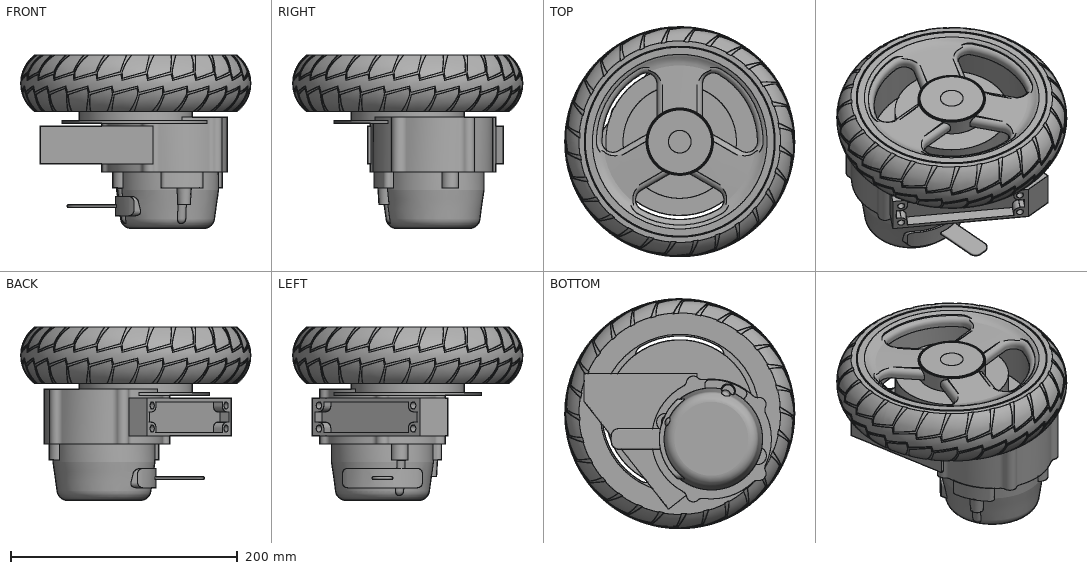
import cadquery as cq
import math


tire_radius = 101.41
tire_half_width = 25.0
tread_edge_radius = 88.8
tire_sector_count = 4
groove_count = 28
groove_depth = 0.6
groove_tip_height = 2.6
groove_link_run = 22.3
groove_link_rise = 5.7
groove_link_end_run = 20.9
groove_step_rise = 7.6
upper_row_angle = 6.0
lower_row_angle = 0.9

seam_outer_radius = 84.1
seam_width = 0.8
seam_depth = 0.5
rim_lip_radius = 77.0
rim_lip_chamfer = 2.0
dish_radius = 67.0
dish_top = 21.0
dish_fillet_drop = 1.2
wheel_bore_radius = 70.0
spoke_top_at_hub = 23.0
spoke_bottom = 13.5
spoke_count = 3
opening_outer_radius = 68.5
opening_side_offset = 20.1
opening_corner_radius = 9.5
opening_edge_round = 5.0
opening_flare_height = 21.8

hub_radius = 29.7
hub_overlap = 3.0
hub_top = 24.0
hub_chamfer = 0.6
hub_groove_radius = 28.6
hub_groove_width = 0.6
hub_groove_depth = 0.5
shaft_radius = 10.0

flange_radius = 50.0
flange_top = 9.0
plate_radius = 65.2
plate_top = -32.9
plate_thickness = 2.5

motor_x = 28.0
motor_y = 22.3
gearbox_radius = 52.8
gearbox_top = -29.8
gearbox_bottom = -78.3
gearbox_lug_count = 5
gearbox_lug_radius = 6.0
gearbox_lug_reach = 58.0
gearbox_lug_fillet = 6.0

motor_radius = 45.0
motor_bottom = -128.0
taper_start = -94.2
taper_end = -119.7
taper_end_radius = 41.4
motor_floor_radius = 32.6

lug_bottom = -92.3
narrow_lug_angles = (20.0, 200.0)
narrow_lug_radius = 7.7
narrow_lug_reach = 51.0
wide_lug_angle = 286.0
wide_lug_spread = 46.0
wide_lug_reach = 52.2
wide_lug_root = 40.0
wide_lug_corner_radius = 4.0
boss_angle = 289.0
boss_center_distance = 44.6
boss_top_radius = 6.5
boss_bottom_radius = 5.6
boss_bottom = -107.0
rib_angles = (201.5, 287.5)
rib_radius = 4.7
rib_protrusion = 1.8
rib_end = -119.2

pad_radius = 46.0
pad_width = 70.4
pad_top = -99.7
pad_bottom = -116.8
pad_corner_radius = 4.5
lever_tip_x = -60.4
lever_width = 18.2
lever_thickness = 2.7
lever_corner_radius = 6.5
lever_edge_round = 1.2

box_top = -37.9
box_bottom = -71.0
box_left_x = -84.3
box_front_y = -35.3
box_right_x = 15.1
box_bevel_front_y = -10.7
box_bevel_back_x = -9.9
box_bevel_back_y = 84.2
box_back_depth = 40.0
pocket_depth = 10.0
pocket_end_margin = 13.0
pocket_side_margin = 3.1
notch_end_margin = 3.3
notch_height = 8.7
screw_end_margin = 7.5
screw_pitch_z = 20.3
screw_diameter = 6.0
screw_depth = 15.0
screw_boss_radius = 5.5


def disc(radius, bottom, top, x=0.0, y=0.0):
    """Upright cylinder between two heights."""
    return cq.Workplane("XY", origin=(x, y, bottom)).circle(radius).extrude(top - bottom)


def ring(outer, inner, bottom, top):
    """Upright tube about the wheel axis."""
    return cq.Workplane("XY", origin=(0, 0, bottom)).circle(outer).circle(inner).extrude(top - bottom)


def spin(shape, angle):
    """Turn a shape about the wheel axis."""
    return shape.rotate((0, 0, 0), (0, 0, 1), angle)


def around_motor(distance, angle):
    """Point at a distance and angle from the motor axis."""
    turn = math.radians(angle)
    return motor_x + distance * math.cos(turn), motor_y + distance * math.sin(turn)


def tread_barrel(inset, inner_radius=0.0, sweep=360.0):
    """Solid bounded by the crowned tread surface moved inwards by the inset."""
    return (
        cq.Workplane("XZ")
        .moveTo(inner_radius, -tire_half_width)
        .lineTo(tread_edge_radius - inset, -tire_half_width)
        .threePointArc((tire_radius - inset, 0), (tread_edge_radius - inset, tire_half_width))
        .lineTo(inner_radius, tire_half_width)
        .close()
        .revolve(sweep, (0, 0, 0), (0, 1, 0))
    )


def tread_groove():
    """One groove: a curved sidewall cut, a short step to its tip and a link to the next groove."""
    overshoot = 0.5
    outline = (
        cq.Workplane("XZ")
        .moveTo(0, groove_tip_height)
        .lineTo(groove_link_run, groove_tip_height + groove_link_rise)
        .lineTo(groove_link_end_run, groove_tip_height + groove_step_rise)
        .lineTo(0.5, groove_tip_height + 1.8)
        .lineTo(-0.2, groove_tip_height + 6.9)
        .threePointArc((3.1, 18.3), (7.5, tire_half_width + overshoot))
        .lineTo(2.9, tire_half_width + overshoot)
        .threePointArc((0.6, 18.3), (-1.7, groove_tip_height + groove_step_rise))
        .close()
    )
    return outline.extrude(tire_radius + 5).cut(tread_barrel(groove_depth))


def make_tire():
    """Tire fused from equal sectors, each with two staggered rows of grooves cut into it.

    The lower row is the upper one turned half a turn about a radial line.
    """
    sweep = 360 / tire_sector_count
    pitch = 360 / groove_count
    upper = tread_groove()
    lower = upper.rotate((0, 0, 0), (0, 1, 0), 180)
    grooves = []
    for index in range(-1, groove_count // tire_sector_count + 2):
        grooves.append(spin(upper, upper_row_angle + index * pitch).val())
        grooves.append(spin(lower, lower_row_angle + index * pitch).val())
    blank = spin(tread_barrel(0, seam_outer_radius, sweep), -90)
    sector = cq.Workplane(blank.val().cut(*grooves))
    sectors = [spin(sector, index * sweep).val() for index in range(tire_sector_count)]
    return cq.Workplane(sectors[0].fuse(*sectors[1:]))


def make_rim():
    """Outer ring and dished web in one turned profile."""
    chamfer_radius = rim_lip_radius - rim_lip_chamfer
    lip_bottom = tire_half_width - rim_lip_chamfer / 2
    mid_radius = (dish_radius + chamfer_radius) / 2
    mid_height = (dish_top + lip_bottom) / 2 - dish_fillet_drop / 2
    profile = (
        cq.Workplane("XZ")
        .moveTo(0, spoke_bottom)
        .lineTo(wheel_bore_radius, spoke_bottom)
        .lineTo(wheel_bore_radius, -tire_half_width)
        .lineTo(seam_outer_radius, -tire_half_width)
        .lineTo(seam_outer_radius, tire_half_width - seam_depth)
        .lineTo(seam_outer_radius - seam_width, tire_half_width - seam_depth)
        .lineTo(seam_outer_radius - seam_width, tire_half_width)
        .lineTo(rim_lip_radius, tire_half_width)
        .lineTo(chamfer_radius, lip_bottom)
        .threePointArc((mid_radius, mid_height), (dish_radius, dish_top))
        .lineTo(hub_radius, spoke_top_at_hub)
        .lineTo(0, spoke_top_at_hub)
        .close()
    )
    return profile.revolve(360, (0, 0, 0), (0, 1, 0))


def spoke_opening():
    """Opening centred on the -Y side, between two spokes, with its upper edge rounded outwards."""
    half_pitch = math.radians(180 / spoke_count)
    apex = opening_side_offset / math.sin(half_pitch)
    reach = 2 * opening_outer_radius
    side = reach * math.tan(half_pitch)
    gap = (
        cq.Workplane("XY", origin=(0, 0, spoke_bottom))
        .polyline([(0, -apex), (-side, -apex - reach), (side, -apex - reach)])
        .close()
        .extrude(opening_flare_height - spoke_bottom)
    )
    inside = disc(hub_radius - hub_overlap, spoke_bottom, opening_flare_height)
    outside = disc(opening_outer_radius, spoke_bottom, opening_flare_height)
    opening = gap.intersect(outside).cut(inside)
    for outer_corner in ("<X", ">X"):
        opening = opening.edges("|Z").edges(outer_corner).fillet(opening_corner_radius)
    slab = disc(wheel_bore_radius + 2 * opening_edge_round, spoke_bottom, opening_flare_height)
    slab_rim = cq.selectors.RadiusNthSelector(-1)
    rounded = slab.cut(opening).faces(">Z").edges().edges(cq.selectors.InverseSelector(slab_rim))
    flared = slab.cut(rounded.fillet(opening_edge_round))
    clearance = flared.faces(">Z").wires().toPending().extrude(tire_half_width - opening_flare_height)
    return flared.union(clearance)


def make_wheel():
    """Tire, rim, spokes and hub."""
    rim = make_rim()
    opening = spoke_opening()
    for index in range(spoke_count):
        rim = rim.cut(spin(opening, index * 360 / spoke_count))
    hub = disc(hub_radius, flange_top, hub_top).faces(">Z").chamfer(hub_chamfer)
    hub = hub.cut(ring(hub_groove_radius, hub_groove_radius - hub_groove_width,
                       hub_top - hub_groove_depth, hub_top))
    center = rim.union(hub).cut(disc(shaft_radius, flange_top, hub_top))
    return make_tire().union(center, clean=False)


def make_output():
    """Shaft, flange and thin plate on the wheel axis."""
    shaft = disc(shaft_radius, flange_top, hub_top)
    flange = disc(flange_radius, plate_top, flange_top)
    plate = disc(plate_radius, plate_top - plate_thickness, plate_top)
    return shaft.union(flange).union(plate)


def make_gearbox():
    """Round gearbox with lugs blended into its side, one of them towards -X."""
    body = disc(gearbox_radius, gearbox_bottom, gearbox_top, motor_x, motor_y)
    for index in range(gearbox_lug_count):
        angle = 180 + index * 360 / gearbox_lug_count
        x, y = around_motor(gearbox_lug_reach - gearbox_lug_radius, angle)
        body = body.union(disc(gearbox_lug_radius, gearbox_bottom, gearbox_top, x, y))
    return body.edges("|Z").edges(
        cq.selectors.BoxSelector((-500, -500, -500), (500, 500, 500))).fillet(gearbox_lug_fillet)


def make_can():
    """Motor can: straight, then tapered, then rounded into its floor."""
    return (
        cq.Workplane("XZ")
        .lineTo(0, gearbox_bottom)
        .lineTo(motor_radius, gearbox_bottom)
        .lineTo(motor_radius, taper_start)
        .lineTo(taper_end_radius, taper_end)
        .tangentArcPoint((motor_floor_radius, motor_bottom), relative=False)
        .lineTo(0, motor_bottom)
        .close()
        .revolve(360, (0, 0, 0), (0, 1, 0))
        .translate((motor_x, motor_y, 0))
    )


def make_motor_lugs():
    """Two narrow round lugs and one wide arc-shaped lug under the gearbox."""
    half = math.radians(wide_lug_spread / 2)
    across = math.cos(half)
    along = math.sin(half)
    wide = (
        cq.Workplane("XY", origin=(0, 0, lug_bottom))
        .moveTo(wide_lug_root * across, -wide_lug_root * along)
        .lineTo(wide_lug_reach * across, -wide_lug_reach * along)
        .threePointArc((wide_lug_reach, 0), (wide_lug_reach * across, wide_lug_reach * along))
        .lineTo(wide_lug_root * across, wide_lug_root * along)
        .close()
        .extrude(gearbox_bottom - lug_bottom)
        .edges("|Z").edges(">Y or <Y").fillet(wide_lug_corner_radius)
    )
    lugs = spin(wide, wide_lug_angle).translate((motor_x, motor_y, 0))
    for angle in narrow_lug_angles:
        x, y = around_motor(narrow_lug_reach - narrow_lug_radius, angle)
        lugs = lugs.union(disc(narrow_lug_radius, lug_bottom, gearbox_bottom, x, y))
    return lugs


def make_ribs():
    """Tapered boss below the wide lug and round-ended ribs that follow the taper."""
    x, y = around_motor(boss_center_distance, boss_angle)
    ribs = cq.Workplane(cq.Solid.makeCone(
        boss_bottom_radius, boss_top_radius, lug_bottom - boss_bottom, cq.Vector(x, y, boss_bottom)))
    slope = (motor_radius - taper_end_radius) / (taper_start - taper_end)
    end_distance = taper_end_radius + slope * (rib_end - taper_end) + rib_protrusion - rib_radius
    top_distance = end_distance + slope * (lug_bottom - rib_end)
    for angle in rib_angles:
        end = cq.Vector(*around_motor(end_distance, angle), rib_end)
        top = cq.Vector(*around_motor(top_distance, angle), lug_bottom)
        axis = top - end
        rod = cq.Solid.makeCylinder(rib_radius, axis.Length, end, axis)
        tip = cq.Workplane("XY").sphere(rib_radius).translate(end.toTuple())
        ribs = ribs.union(cq.Workplane(rod)).union(tip)
    return ribs


def make_lever():
    """Curved pad on the -X side of the can and the flat release lever."""
    pad_height = pad_top - pad_bottom
    pad_middle = (pad_top + pad_bottom) / 2
    window = (
        cq.Workplane("YZ", origin=(motor_x, motor_y, pad_middle))
        .rect(pad_width, pad_height)
        .extrude(-2 * pad_radius)
        .edges("|X").fillet(pad_corner_radius)
    )
    pad = disc(pad_radius, pad_bottom, pad_top, motor_x, motor_y).intersect(window)
    length = motor_x - motor_radius / 2 - lever_tip_x
    lever = (
        cq.Workplane("XY")
        .box(length, lever_width, lever_thickness, centered=(False, True, True))
        .edges("|Z and <X").fillet(lever_corner_radius)
        .faces("<X").edges("|Y").fillet(lever_edge_round)
        .translate((lever_tip_x, motor_y, pad_middle))
    )
    return pad.union(lever)


def make_terminal_box():
    """Flat box with a recessed bevelled face that carries four screw holes."""
    run_x = box_bevel_back_x - box_left_x
    run_y = box_bevel_back_y - box_bevel_front_y
    face_length = math.hypot(run_x, run_y)
    inward = (run_y / face_length, -run_x / face_length)
    back = (box_bevel_back_x + box_back_depth * inward[0], box_bevel_back_y + box_back_depth * inward[1])
    height = box_top - box_bottom
    box = (
        cq.Workplane("XY", origin=(0, 0, box_bottom))
        .polyline([
            (box_left_x, box_bevel_front_y),
            (box_left_x, box_front_y),
            (box_right_x, box_front_y),
            (box_right_x, motor_y),
            back,
            (box_bevel_back_x, box_bevel_back_y),
        ])
        .close()
        .extrude(height)
    )
    middle = (
        (box_left_x + box_bevel_back_x) / 2,
        (box_bevel_front_y + box_bevel_back_y) / 2,
        (box_top + box_bottom) / 2,
    )
    face = cq.Workplane(cq.Plane(origin=middle, xDir=(run_x, run_y, 0), normal=(inward[0], inward[1], 0)))
    screw_span = face_length - 2 * screw_end_margin
    bosses = face.rect(screw_span, screw_pitch_z, forConstruction=True).vertices()
    pocket = face.rect(screw_span, screw_pitch_z).extrude(pocket_depth)
    pocket = pocket.cut(bosses.circle(screw_boss_radius).extrude(pocket_depth))
    main_length = face_length - 2 * pocket_end_margin
    pocket = pocket.union(face.rect(main_length, height - 2 * pocket_side_margin).extrude(pocket_depth))
    pocket = pocket.union(face.rect(face_length - 2 * notch_end_margin, notch_height).extrude(pocket_depth))
    return box.cut(pocket).cut(bosses.circle(screw_diameter / 2).extrude(screw_depth))


def make_drive_unit():
    """Everything that carries the wheel, in one solid."""
    drive = make_output().union(make_gearbox()).union(make_can())
    return drive.union(make_motor_lugs()).union(make_ribs()).union(make_lever()).union(make_terminal_box())


wheel = make_wheel()
drive_unit = make_drive_unit()
result = cq.Compound.makeCompound([*wheel.vals(), *drive_unit.vals()])